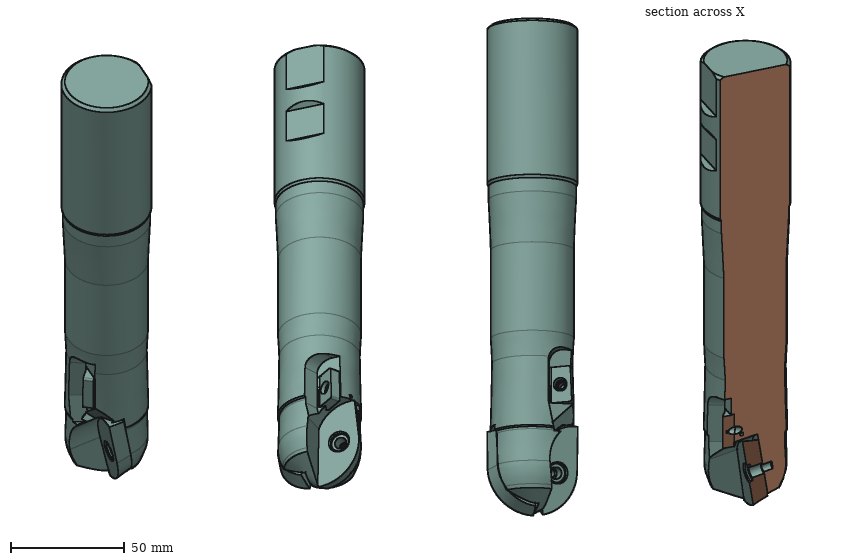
import cadquery as cq
import math


LENGTH = 221.0
TOOL_R = 40.0 / 2
END_R = 37.0 / 2
END_CHAMFER = 1.3
SHANK_BOTTOM = 150.0
COLLAR_R = 39.0 / 2
COLLAR_TOP = 148.7
COLLAR_BOTTOM = 142.8
NECK_R = 37.0 / 2
NECK_TOP = 120.0
NECK_BOTTOM = 80.0
WAIST_R = 18.0
WAIST_Z = 68.7
HEAD_R = 18.5
HEAD_BOTTOM = 37.1
GROOVE_R = 18.0
GROOVE_TOP = 36.5
GROOVE_BOTTOM = 35.5
NOSE_R = 18.3
NOSE_TOP = 21.2
NOSE_MID = (17.7, 14.8)
NOSE_END = (16.4, 11.0)
CONE_TOP = (15.7, 9.3)
CONE_TIP_Z = 0.5

FLAT_Y = 18.0
UPPER_FLAT_BOTTOM = 200.9
LOWER_FLAT_TOP = 189.2
LOWER_FLAT_BOTTOM = 173.7
FLAT_END_SLOPE = TOOL_R - FLAT_Y

FACE_TILT = math.radians(9)
FACE_OFFSET = 0.5
BALL_THICKNESS = 7.5
BALL_RELIEF = 13
BALL_BACK_GAP = 0.7
BALL_HOLE = (10.5, 19.7)
BALL_HOLE_D = 5.3
BALL_BORE_D = 8.5
BALL_BORE_DEPTH = 1.8
BALL_BORE_CHAMFER = 0.7

FRONT_TIP_X = 4.9
FRONT_BACK_ARC = [(1.3, 21.0), (4.6, 34.3), (19.0, 40.9)]
REAR_TIP_X = -0.7
REAR_BACK_ARC = [(1.5, 27.8), (7.5, 35.0), (19.0, 38.0)]

SCREW_HOLE_D = 3.5
SCREW_HOLE_DEPTH = 4.5

SIDE_ANGLE = math.radians(34)
SIDE_CENTER = (7.7, -13.7, 57.2)
SIDE_WIDTH = 9.7
SIDE_HEIGHT = 16.1
SIDE_THICKNESS = 4.6
SIDE_LEAN = 2.5
SIDE_CORNER_R = 0.9
SIDE_HOLE_D = 3.5
SIDE_BORE_D = 6.0
SIDE_BORE_DEPTH = 1.8
SIDE_BORE_TAPER = 20
REAR_DROP = 14.8

CHIP_FLOOR_Y = -11.5
CHIP_WALL_X = 3.3
CHIP_WALL_ANGLE = math.radians(25)
CHIP_TOP = 73.5
CHIP_KINK = 48.6
CHIP_BOTTOM = 35.4
CHIP_CORNER_R = 6.6
CHIP_DRIFT = 2.9

BEVEL_POINT = (14.4, CHIP_FLOOR_Y, 49.0)
BEVEL_ALONG = (3.8, 0, 3.5)
BEVEL_NORMAL = (0.48, -0.71, -0.52)
BEVEL_LENGTH = 31.0
BEVEL_WIDTH = 10.2

COOLANT_D = 1.5
COOLANT_POINT = (8.8, -6.5, 40.0)

OUTSIDE = 2 * TOOL_R
DIAGONAL = math.sqrt(0.5)

BALL_FACE = cq.Plane(
    origin=(0, -FACE_OFFSET, 0),
    xDir=(1, 0, 0),
    normal=(0, -math.cos(FACE_TILT), -math.sin(FACE_TILT)),
)
SIDE_FACE = cq.Plane(
    origin=SIDE_CENTER,
    xDir=(math.cos(SIDE_ANGLE), -math.sin(SIDE_ANGLE), 0),
    normal=(-math.sin(SIDE_ANGLE), -math.cos(SIDE_ANGLE), 0),
).rotated((0, 0, SIDE_LEAN))


def half_turn(shape):
    """Carry a shape to the opposite side of the tool axis."""
    return shape.rotate((0, 0, 0), (0, 0, 1), 180)


def to_rear_side(shape):
    """Carry a shape from the front side insert to the lower rear one."""
    return half_turn(shape).translate((0, 0, -REAR_DROP))


def ball_insert(tip_x, back_arc):
    """Relieved leaf-shaped plate with a ball-nose cutting edge that ends at tip_x."""
    inner, middle, outer = back_arc
    tip = (tip_x, TOOL_R - math.sqrt(TOOL_R**2 - tip_x**2))
    diagonal = TOOL_R * DIAGONAL
    plate = (
        cq.Workplane(BALL_FACE)
        .moveTo(*tip)
        .threePointArc((diagonal, TOOL_R - diagonal), (TOOL_R, TOOL_R))
        .lineTo(*outer)
        .threePointArc(middle, inner)
        .close()
        .extrude(-BALL_THICKNESS, taper=BALL_RELIEF)
    )
    center = cq.Workplane(BALL_FACE).center(*BALL_HOLE)
    hole = center.circle(BALL_HOLE_D / 2).extrude(-BALL_THICKNESS)
    bore = center.circle(BALL_BORE_D / 2).extrude(-BALL_BORE_DEPTH)
    bore_chamfer = (
        center.circle(BALL_BORE_D / 2 + BALL_BORE_CHAMFER).extrude(-BALL_BORE_CHAMFER, taper=45)
    )
    return plate.cut(hole).cut(bore).cut(bore_chamfer)


def side_plate():
    """Rounded rectangular plate whose front face lies in SIDE_FACE."""
    return (
        cq.Workplane(SIDE_FACE)
        .rect(SIDE_WIDTH, SIDE_HEIGHT)
        .extrude(-SIDE_THICKNESS)
        .edges(cq.selectors.ParallelDirSelector(SIDE_FACE.zDir))
        .fillet(SIDE_CORNER_R)
    )


def side_insert():
    bore = (
        cq.Workplane(SIDE_FACE)
        .circle(SIDE_BORE_D / 2)
        .extrude(-SIDE_BORE_DEPTH, taper=SIDE_BORE_TAPER)
    )
    hole = cq.Workplane(SIDE_FACE).circle(SIDE_HOLE_D / 2).extrude(-SIDE_THICKNESS)
    return side_plate().cut(bore).cut(hole)


def turned_blank():
    return (
        cq.Workplane("XZ")
        .moveTo(0, CONE_TIP_Z)
        .lineTo(*CONE_TOP)
        .lineTo(*NOSE_END)
        .threePointArc(NOSE_MID, (NOSE_R, NOSE_TOP))
        .lineTo(GROOVE_R, GROOVE_BOTTOM)
        .lineTo(GROOVE_R, GROOVE_TOP)
        .lineTo(HEAD_R, HEAD_BOTTOM)
        .lineTo(WAIST_R, WAIST_Z)
        .lineTo(NECK_R, NECK_BOTTOM)
        .lineTo(NECK_R, NECK_TOP)
        .lineTo(COLLAR_R, COLLAR_BOTTOM)
        .lineTo(COLLAR_R, COLLAR_TOP)
        .lineTo(TOOL_R, SHANK_BOTTOM)
        .lineTo(TOOL_R, LENGTH - END_CHAMFER)
        .lineTo(END_R, LENGTH)
        .lineTo(0, LENGTH)
        .close()
        .revolve(360, (0, 0, 0), (0, 1, 0))
    )


def shank_flat(bottom, top):
    """Cutter for a flat on the +Y side that widens outward by a 45 degree slope at each end."""
    return (
        cq.Workplane("YZ")
        .moveTo(FLAT_Y, bottom)
        .lineTo(TOOL_R, bottom - FLAT_END_SLOPE)
        .lineTo(TOOL_R, top + FLAT_END_SLOPE)
        .lineTo(FLAT_Y, top)
        .close()
        .extrude(TOOL_R, both=True)
    )


def screw_hole(center):
    """Cutter for a blind screw hole that starts at a workplane's origin."""
    return center.circle(SCREW_HOLE_D / 2).extrude(-SCREW_HOLE_DEPTH)


def ball_pocket(tip_x, back_arc):
    """Cutter for a ball insert's seat, open outward, downward and in front of the insert."""
    (inner_x, inner_z), (mid_x, mid_z), (outer_x, outer_z) = back_arc
    gap_diagonal = BALL_BACK_GAP * DIAGONAL
    seat = cq.Workplane(BALL_FACE).workplane(offset=-BALL_THICKNESS)
    pocket = (
        seat.moveTo(tip_x, -OUTSIDE)
        .lineTo(OUTSIDE, -OUTSIDE)
        .lineTo(OUTSIDE, outer_z + BALL_BACK_GAP)
        .lineTo(outer_x, outer_z + BALL_BACK_GAP)
        .threePointArc((mid_x - gap_diagonal, mid_z + gap_diagonal), (inner_x, inner_z))
        .lineTo(tip_x, 0)
        .close()
        .extrude(OUTSIDE)
    )
    return pocket.union(screw_hole(seat.center(*BALL_HOLE)))


def side_seat():
    """Cutter for a side insert's seat and its screw hole."""
    return side_plate().union(screw_hole(cq.Workplane(SIDE_FACE).workplane(offset=-SIDE_THICKNESS)))


def chip_pocket():
    """Cutter with a flat floor and a leaning wall that drifts sideways at the bottom."""
    wall_x = CHIP_WALL_X - OUTSIDE * math.tan(CHIP_WALL_ANGLE)
    section = [
        (CHIP_WALL_X, CHIP_FLOOR_Y),
        (wall_x, CHIP_FLOOR_Y - OUTSIDE),
        (OUTSIDE, CHIP_FLOOR_Y - OUTSIDE),
        (OUTSIDE, CHIP_FLOOR_Y),
    ]
    base = cq.Workplane("XY", origin=(0, 0, CHIP_KINK)).polyline(section).close()
    upper = (
        base.extrude(CHIP_TOP - CHIP_KINK)
        .faces(">Z").edges("<X")
        .fillet(CHIP_CORNER_R)
    )
    lower = cq.Solid.extrudeLinear(
        base.wires().val(), [], cq.Vector(CHIP_DRIFT, 0, CHIP_BOTTOM - CHIP_KINK)
    )
    return upper.union(cq.Workplane(lower))


def bevel():
    """Cutter for the sloping face that leads from the chip pocket down to the ball insert."""
    plane = cq.Plane(origin=BEVEL_POINT, xDir=BEVEL_ALONG, normal=BEVEL_NORMAL)
    return (
        cq.Workplane(plane)
        .center(0, -BEVEL_WIDTH / 2)
        .rect(BEVEL_LENGTH, BEVEL_WIDTH)
        .extrude(TOOL_R)
    )


def coolant_outlet():
    return (
        cq.Workplane(cq.Plane(origin=COOLANT_POINT, normal=(1, 0, 0)))
        .circle(COOLANT_D / 2)
        .extrude(TOOL_R)
    )


def holder_body():
    body = turned_blank()
    body = body.cut(shank_flat(UPPER_FLAT_BOTTOM, LENGTH + OUTSIDE))
    body = body.cut(shank_flat(LOWER_FLAT_BOTTOM, LOWER_FLAT_TOP))
    body = body.cut(ball_pocket(FRONT_TIP_X, FRONT_BACK_ARC))
    body = body.cut(half_turn(ball_pocket(REAR_TIP_X, REAR_BACK_ARC)))
    for cutter in (chip_pocket(), side_seat()):
        body = body.cut(cutter).cut(to_rear_side(cutter))
    outlet = coolant_outlet()
    return body.cut(bevel()).cut(outlet).cut(half_turn(outlet))


holder = holder_body()
ball_inserts = [
    ball_insert(FRONT_TIP_X, FRONT_BACK_ARC),
    half_turn(ball_insert(REAR_TIP_X, REAR_BACK_ARC)),
]
side_inserts = [side_insert(), to_rear_side(side_insert())]

result = cq.Compound.makeCompound([
    holder.val(),
    *[insert.val() for insert in ball_inserts],
    *[insert.val() for insert in side_inserts],
])